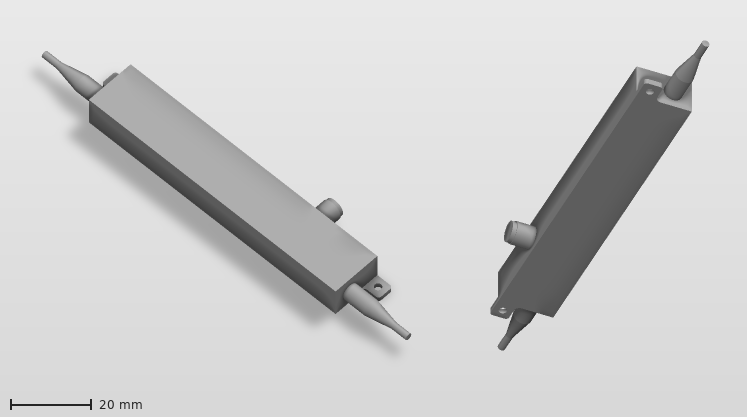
import cadquery as cq

overall_length = 125.0
overall_depth = 21.2

body_length = 84.8
body_depth = 15.0
body_height = 9.6

boot_axis_y = 5.1
boot_axis_z = 4.5
sleeve_length = 7.2
sleeve_radius = 2.5
tip_length = 5.0
tip_radius = 1.0

connector_x = 21.9
connector_axis_z = 4.5
connector_radius = 3.0
collar_length = 1.1
collar_radius = 2.8

ear_length = 5.2
ear_width = 5.0
ear_thickness = 1.5
ear_corner_radius = 0.9
ear_root_radius = 1.5
ear_hole_diameter = 2.1
ear_hole_from_body = 2.6

body_end_x = body_length / 2


def make_body():
    return cq.Workplane("XY").box(body_length, body_depth, body_height, centered=(True, False, False))


def make_boot(side):
    """Sleeve, cone and thin tip, revolved about the boot axis."""
    sleeve_end_x = side * (body_end_x + sleeve_length)
    tip_end_x = side * overall_length / 2
    tip_start_x = tip_end_x - side * tip_length
    return (
        cq.Workplane("XY", origin=(0, boot_axis_y, boot_axis_z))
        .moveTo(0, 0)
        .lineTo(0, sleeve_radius)
        .lineTo(sleeve_end_x, sleeve_radius)
        .lineTo(tip_start_x, tip_radius)
        .lineTo(tip_end_x, tip_radius)
        .lineTo(tip_end_x, 0)
        .close()
        .revolve(360, (0, 0), (1, 0))
    )


def make_connector():
    """Barrel with a narrower collar at its free end."""
    connector_length = overall_depth - body_depth
    barrel_length = connector_length - collar_length
    back_face = cq.Workplane("XZ", origin=(connector_x, body_depth, connector_axis_z))
    barrel = back_face.circle(connector_radius).extrude(-barrel_length)
    collar = back_face.circle(collar_radius).extrude(-connector_length)
    return barrel.union(collar)


def make_ear(side):
    """Flat ear flush with the back face and base, blended into the end face."""
    outer_x = side * (body_end_x + ear_length)
    inner_y = body_depth - ear_width
    root_x = side * (body_end_x + ear_root_radius)
    root_y = inner_y - ear_root_radius
    blend = (
        cq.Workplane("XY")
        .moveTo(side * body_end_x, inner_y)
        .lineTo(root_x, inner_y)
        .radiusArc((side * body_end_x, root_y), -side * ear_root_radius)
        .close()
        .extrude(ear_thickness)
    )
    plate = (
        cq.Workplane("XY")
        .moveTo(0, inner_y)
        .lineTo(outer_x, inner_y)
        .lineTo(outer_x, body_depth)
        .lineTo(0, body_depth)
        .close()
        .extrude(ear_thickness)
        .edges("|Z and " + (">X" if side > 0 else "<X"))
        .fillet(ear_corner_radius)
    )
    hole = (
        cq.Workplane("XY")
        .center(side * (body_end_x + ear_hole_from_body), body_depth - ear_width / 2)
        .circle(ear_hole_diameter / 2)
        .extrude(ear_thickness)
    )
    return plate.union(blend).cut(hole)


result = make_body().union(make_connector())
for end in (-1, 1):
    result = result.union(make_boot(end)).union(make_ear(end))